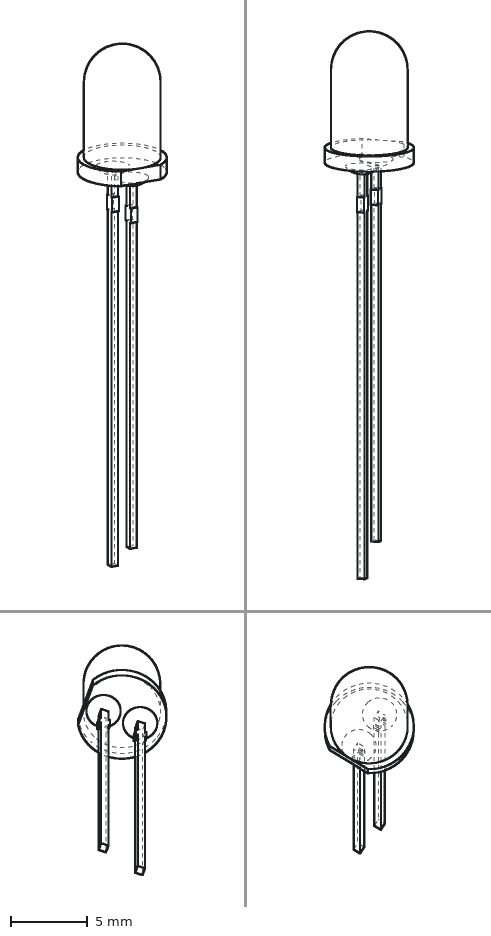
import cadquery as cq

total_height = 36.1
lens_diameter = 5.0
flange_diameter = 5.8
flange_thickness = 1.0
body_height = 8.7

lead_pitch = 2.53
lead_width = 0.5
short_lead_cutback = 2.0
stop_width = 0.72
stop_height = 1.0
stop_drop = 2.0

meniscus_radius = 1.12
meniscus_height = 0.5

lens_radius = lens_diameter / 2
long_lead_length = total_height - body_height


def make_lens():
    """Cylinder closed by a hemispherical dome, revolved about Z."""
    shoulder_z = body_height - lens_radius
    arc_mid = lens_radius * 0.5 ** 0.5
    return (
        cq.Workplane("XZ")
        .lineTo(lens_radius, 0)
        .lineTo(lens_radius, shoulder_z)
        .threePointArc((arc_mid, shoulder_z + arc_mid), (0, body_height))
        .close()
        .revolve(360, (0, 0), (0, 1))
    )


def make_flange():
    """Disc cut flat on +X, tangent to the lens, to mark the short lead."""
    disc = cq.Workplane("XY").circle(flange_diameter / 2).extrude(flange_thickness)
    keep = cq.Workplane("XY").box(
        flange_diameter, flange_diameter, flange_thickness, centered=(False, True, False)
    ).translate((lens_radius - flange_diameter, 0, 0))
    return disc.intersect(keep)


def make_lead(x, length):
    """Square lead with a wider stop and a resin cap where it enters the body."""
    wire = cq.Workplane("XY").center(x, 0).rect(lead_width, lead_width).extrude(-length)
    stop = (
        cq.Workplane("XY", origin=(x, 0, -stop_drop))
        .rect(stop_width, lead_width)
        .extrude(-stop_height)
    )
    ball_radius = (meniscus_radius ** 2 + meniscus_height ** 2) / (2 * meniscus_height)
    ball = cq.Workplane("XY").sphere(ball_radius).translate((x, 0, ball_radius - meniscus_height))
    below = cq.Workplane("XY").center(x, 0).circle(meniscus_radius).extrude(-meniscus_height)
    return wire.union(stop).union(ball.intersect(below))


result = make_lens().union(make_flange())
for lead_x, lead_length in (
    (-lead_pitch / 2, long_lead_length),
    (lead_pitch / 2, long_lead_length - short_lead_cutback),
):
    result = result.union(make_lead(lead_x, lead_length))